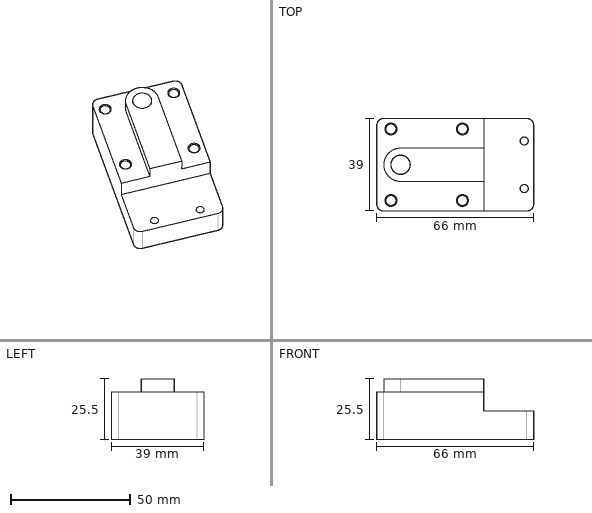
import cadquery as cq

length = 66.0
width = 39.0
body_height = 20.0
total_height = 25.5
corner_radius = 3.0
shelf_start = 45.0
shelf_height = 12.0

rib_width = 14.0
bore_x = 10.0
bore_diameter = 8.0

mount_x = 6.0
mount_spacing = 30.0
mount_diameter = 4.2
mount_chamfer = 0.4

shelf_hole_x = 62.0
shelf_hole_spacing = 20.0
shelf_hole_diameter = 3.3

middle_y = width / 2


def make_body():
    """Block with rounded vertical corners, cut down to the shelf."""
    block = (
        cq.Workplane("XY")
        .box(length, width, body_height, centered=False)
        .edges("|Z")
        .fillet(corner_radius)
    )
    shelf_space = (
        cq.Workplane("XY", origin=(shelf_start, 0, shelf_height))
        .box(length - shelf_start, width, body_height - shelf_height, centered=False)
    )
    return block.cut(shelf_space)


def make_rib():
    """Rib from the shelf wall to a half-round end about the bore."""
    rib_radius = rib_width / 2
    return (
        cq.Workplane("XY", origin=(0, middle_y, body_height))
        .moveTo(shelf_start, -rib_radius)
        .lineTo(bore_x, -rib_radius)
        .threePointArc((bore_x - rib_radius, 0), (bore_x, rib_radius))
        .lineTo(shelf_start, rib_radius)
        .close()
        .extrude(total_height - body_height)
    )


def through_holes(points, diameter):
    """Vertical cylinders through the full height at the given points."""
    return cq.Workplane("XY").pushPoints(points).circle(diameter / 2).extrude(total_height)


def chamfer_cones(points):
    """Cones that chamfer the mounting hole mouths on the body top."""
    mouth_radius = mount_diameter / 2 + mount_chamfer
    cone = cq.Solid.makeCone(mount_diameter / 2, mouth_radius, mount_chamfer)
    base_z = body_height - mount_chamfer
    return cq.Workplane("XY").pushPoints(points).eachpoint(
        lambda location: cone.translate(cq.Vector(0, 0, base_z)).moved(location)
    )


mount_points = [
    (x, middle_y + side * mount_spacing / 2)
    for x in (mount_x, mount_x + mount_spacing)
    for side in (-1, 1)
]
shelf_points = [
    (shelf_hole_x, middle_y + side * shelf_hole_spacing / 2) for side in (-1, 1)
]

result = (
    make_body()
    .union(make_rib())
    .cut(through_holes([(bore_x, middle_y)], bore_diameter))
    .cut(through_holes(mount_points, mount_diameter))
    .cut(chamfer_cones(mount_points))
    .cut(through_holes(shelf_points, shelf_hole_diameter))
)